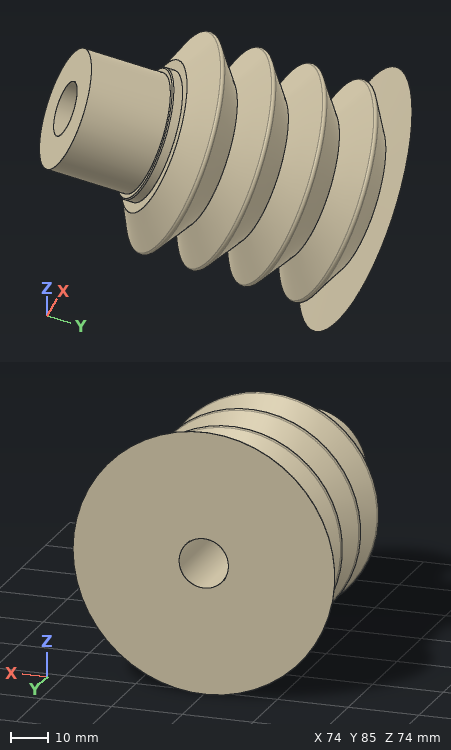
import cadquery as cq
import math

length = 85.0
lip_radius = 37.02
lip_rim_thickness = 0.1
lip_root_thickness = 0.5

fold_count = 4
fold_pitch = 15.0
front_face_y = -59.0
crest_offset = 6.2
crest_radius = 31.3
crest_round = 0.8
valley_radius = 21.0
end_radius = 21.4

spigot_radius = 17.0
collar_radius = 18.5
collar_length = 2.9
collar_chamfer = 0.3

entry_bore_radius = 7.65
bore_radius = 7.0
bore_cone_length = entry_bore_radius - bore_radius


def revolve_about_y(profile):
    return profile.close().revolve(360, (0, 0, 0), (0, 1, 0))


def crest_points(valley_y, start_radius, end_y, crest_y):
    """Tangent and middle points of the arc that rounds a crest between two cone flanks."""
    front_slope = math.atan2(crest_y - valley_y, crest_radius - start_radius)
    rear_slope = math.atan2(end_y - crest_y, crest_radius - valley_radius)
    center_radius = crest_radius - crest_round
    front = (center_radius + crest_round * math.sin(front_slope), crest_y - crest_round * math.cos(front_slope))
    rear = (center_radius + crest_round * math.sin(rear_slope), crest_y + crest_round * math.cos(rear_slope))
    return front, (crest_radius, crest_y), rear


def make_bellows():
    profile = cq.Workplane("XY").moveTo(bore_radius, front_face_y).lineTo(end_radius, front_face_y)
    for fold in range(fold_count):
        start_y = front_face_y + fold * fold_pitch
        start_radius = end_radius if fold == 0 else valley_radius
        last_fold = fold == fold_count - 1
        end_y = -lip_root_thickness if last_fold else start_y + fold_pitch
        front, middle, rear = crest_points(start_y, start_radius, end_y, start_y + crest_offset)
        profile = profile.lineTo(*front).threePointArc(middle, rear).lineTo(valley_radius, end_y)
    profile = profile.lineTo(lip_radius, -lip_rim_thickness).lineTo(lip_radius, 0).lineTo(bore_radius, 0)
    return revolve_about_y(profile)


def make_fitting():
    collar_y = front_face_y - collar_length
    profile = (
        cq.Workplane("XY")
        .moveTo(entry_bore_radius, -length)
        .lineTo(spigot_radius, -length)
        .lineTo(spigot_radius, collar_y)
        .lineTo(collar_radius - collar_chamfer, collar_y)
        .lineTo(collar_radius, collar_y + collar_chamfer)
        .lineTo(collar_radius, front_face_y)
        .lineTo(bore_radius, front_face_y)
        .lineTo(entry_bore_radius, front_face_y - bore_cone_length)
    )
    return revolve_about_y(profile)


bellows = make_bellows()
fitting = make_fitting()
result = cq.Compound.makeCompound([bellows.val(), fitting.val()])